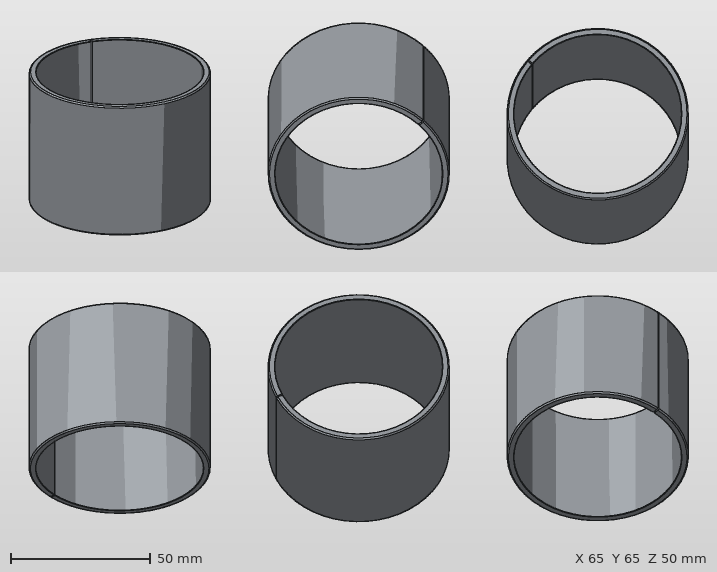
import cadquery as cq

outer_diameter = 65.0
inner_diameter = 60.0
height = 50.0
outer_chamfer = 0.5
inner_chamfer = 0.2
slit_angle = 1.0

outer_radius = outer_diameter / 2
inner_radius = inner_diameter / 2
half_height = height / 2


def make_wall_section():
    """Wall section on the -X side, chamfered at all four corners."""
    return (
        cq.Workplane("XZ")
        .moveTo(-inner_radius - inner_chamfer, -half_height)
        .lineTo(-outer_radius + outer_chamfer, -half_height)
        .lineTo(-outer_radius, -half_height + outer_chamfer)
        .lineTo(-outer_radius, half_height - outer_chamfer)
        .lineTo(-outer_radius + outer_chamfer, half_height)
        .lineTo(-inner_radius - inner_chamfer, half_height)
        .lineTo(-inner_radius, half_height - inner_chamfer)
        .lineTo(-inner_radius, -half_height + inner_chamfer)
        .close()
    )


axis_start = (0, 0, 0)
axis_end = (0, 1, 0)
result = make_wall_section().revolve(360 - slit_angle, axis_start, axis_end)